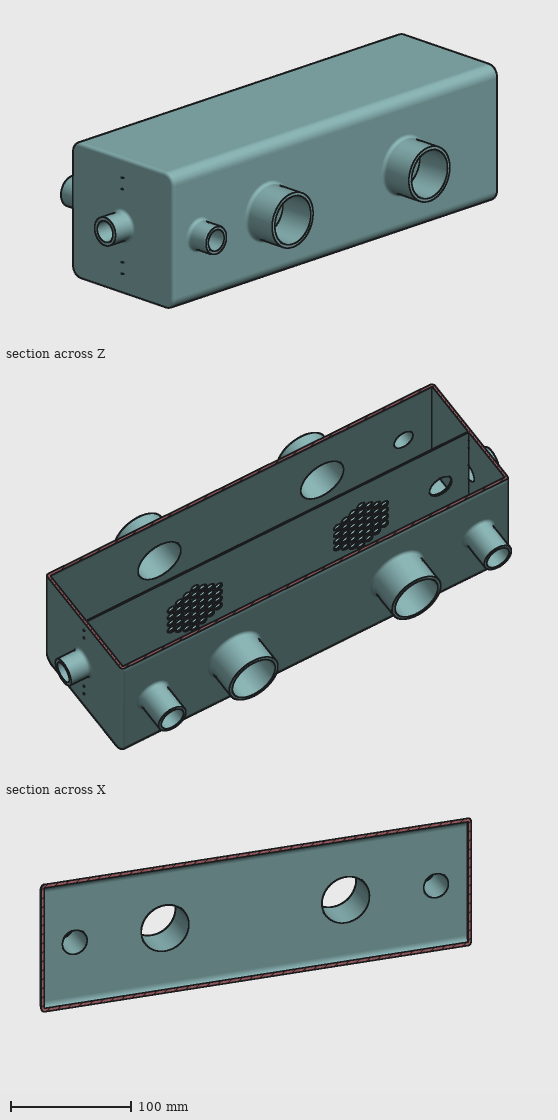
import cadquery as cq
import math

OVERALL_LENGTH = 421.0
OVERALL_WIDTH = 180.0
BODY_SIDE = 120.5
BODY_LENGTH = 381.0
CORNER_RADIUS = 10.0
END_FILLET = 3.15
WALL = 3.0

MAIN_OUTER = 48.0
MAIN_RIM = 46.0
MAIN_BORE = 42.0
SMALL_OUTER = 27.0
SMALL_RIM = 25.0
SMALL_BORE = 22.0
SLEEVE_OUTER = 25.0
SLEEVE_BORE = 18.5
DRAIN_RIM = 24.0
PIPE_BEVEL_LENGTH = 0.25
DRAIN_BEVEL_LENGTH = 1.5
WELD_RADIUS = 3.0

MAIN_Y = 80.0
SMALL_Y = 160.0
DRAIN_END_X = 80.5

PLATE_THICKNESS = 1.5
HOLE_DIAMETER = 7.5
HOLE_PITCH = 9.0
HOLE_FIELD_Y = 81.5
HOLE_RINGS = 3

TAB_BOTTOM = 32.5
TAB_TOP = 42.5
TAB_GAP = 0.5

half_side = BODY_SIDE / 2
half_length = BODY_LENGTH / 2
cavity_side = BODY_SIDE - 2 * WALL
cavity_length = BODY_LENGTH - 2 * WALL
side_reach = OVERALL_WIDTH / 2 - half_side
end_reach = OVERALL_LENGTH / 2 - half_length
drain_reach = DRAIN_END_X - half_side


def rounded_bar(side, length, radius):
    """Square bar along Y with its four long edges rounded."""
    return cq.Workplane("XY").box(side, length, side).edges("|Y").fillet(radius)


def make_shell():
    outside = rounded_bar(BODY_SIDE, BODY_LENGTH, CORNER_RADIUS)
    outside = outside.faces("<Y or >Y").edges().fillet(END_FILLET)
    cavity = rounded_bar(cavity_side, cavity_length, CORNER_RADIUS - WALL)
    return outside.cut(cavity)


def make_stub(start, direction, outer, length, rim=None, bevel_length=0):
    """Solid stub on a shell face with a hollow weld fillet at its foot; a rim diameter bevels its end."""
    radius = outer / 2
    weld_waist = WELD_RADIUS * (1 - math.sqrt(0.5))
    profile = cq.Workplane("XZ").lineTo(radius + WELD_RADIUS, 0)
    profile = profile.threePointArc((radius + weld_waist, weld_waist), (radius, WELD_RADIUS))
    if rim is None:
        profile = profile.lineTo(radius, length)
    else:
        profile = profile.lineTo(radius, length - bevel_length).lineTo(rim / 2, length)
    profile = profile.lineTo(0, length).close()
    upright = profile.revolve(360, (0, 0, 0), (0, 1, 0)).val()
    placement = cq.Plane(origin=start, xDir=(direction[1], -direction[0], 0), normal=direction)
    return cq.Workplane(upright.moved(cq.Location(placement)))


def make_bore(start, direction, diameter, length):
    """Cylinder from the cavity side of the wall to the end of a stub."""
    axis = cq.Vector(*direction)
    inside = cq.Vector(*start) - axis * WALL
    return cq.Workplane(cq.Solid.makeCylinder(diameter / 2, length + WALL, inside, axis))


def add_stub(body, start, direction, outer, bore, length, rim=None, bevel_length=0):
    body = body.union(make_stub(start, direction, outer, length, rim, bevel_length))
    return body.cut(make_bore(start, direction, bore, length))


def add_stubs(body):
    left = (-1, 0, 0)
    right = (1, 0, 0)
    main = (MAIN_OUTER, MAIN_BORE, side_reach, MAIN_RIM, PIPE_BEVEL_LENGTH)
    small = (SMALL_OUTER, SMALL_BORE, side_reach, SMALL_RIM, PIPE_BEVEL_LENGTH)
    sleeve = (SLEEVE_OUTER, SLEEVE_BORE, end_reach)
    drain = (SLEEVE_OUTER, SLEEVE_BORE, drain_reach, DRAIN_RIM, DRAIN_BEVEL_LENGTH)

    body = add_stub(body, (half_side, -SMALL_Y, 0), right, *drain)
    for sign in (-1, 1):
        body = add_stub(body, (-half_side, sign * MAIN_Y, 0), left, *main)
        body = add_stub(body, (half_side, sign * MAIN_Y, 0), right, *main)
        body = add_stub(body, (-half_side, sign * SMALL_Y, 0), left, *small)
        body = add_stub(body, (0, sign * half_length, 0), (0, sign, 0), *sleeve)
    return body


def plate_drill(points, diameter):
    """Round cutters along X through the plate, at (y, z) points."""
    return cq.Workplane("YZ").pushPoints(points).circle(diameter / 2).extrude(PLATE_THICKNESS, both=True)


def hexagonal_field(centre_y):
    """Points of a hexagonal pattern, in columns along Z."""
    column_spacing = HOLE_PITCH * math.sqrt(3) / 2
    points = []
    for column in range(-HOLE_RINGS, HOLE_RINGS + 1):
        rows = 2 * HOLE_RINGS + 1 - abs(column)
        for row in range(rows):
            points.append((centre_y + column * column_spacing, (row - (rows - 1) / 2) * HOLE_PITCH))
    return points


def make_plate():
    """Divider across the cavity: a hole field at each pair of main stubs, one clear hole at the drain."""
    plate = cq.Workplane("XY").box(PLATE_THICKNESS, cavity_length, cavity_side)
    for sign in (-1, 1):
        plate = plate.cut(plate_drill(hexagonal_field(sign * HOLE_FIELD_Y), HOLE_DIAMETER))
    return plate.cut(plate_drill([(-SMALL_Y, 0)], SMALL_BORE))


def cut_tab_gaps(body):
    gap = cq.Workplane("XY").box(PLATE_THICKNESS, WALL, TAB_GAP)
    for y in (-half_length + WALL / 2, half_length - WALL / 2):
        for z in (-TAB_TOP, -TAB_BOTTOM, TAB_BOTTOM, TAB_TOP):
            body = body.cut(gap.translate((0, y, z)))
    return body


result = cut_tab_gaps(add_stubs(make_shell()).union(make_plate()))